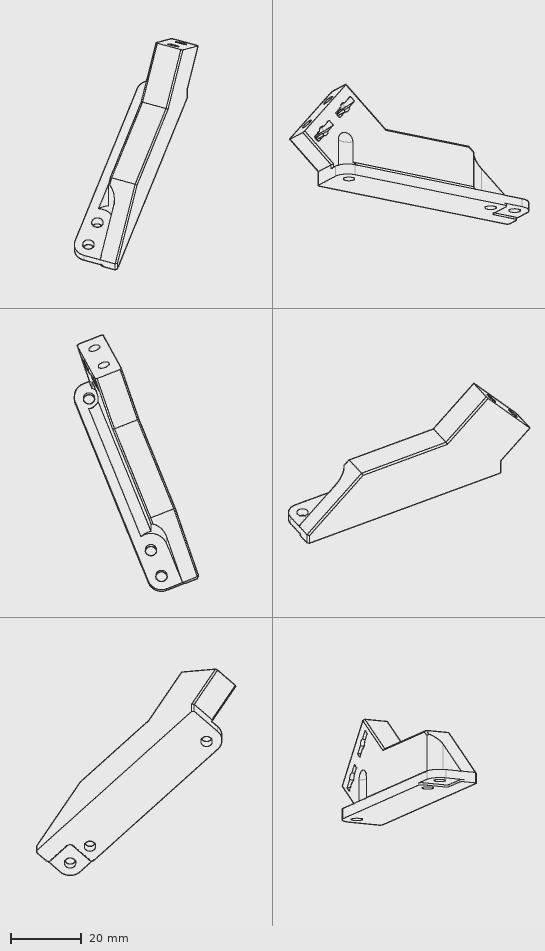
import cadquery as cq
import math

PLATE_LENGTH = 63.6
PLATE_WIDTH = 13.8
PLATE_THICKNESS = 3.0
PLATE_CORNER_RADIUS = 4.0

HOLE_DIAMETER = 3.2
HOLE_ROW_X = 4.0
FRONT_HOLE_Y = 4.0
MIDDLE_HOLE_Y = 12.0
BACK_HOLE_Y = 59.1

WALL_THICKNESS = 8.0
WALL_X = PLATE_WIDTH - WALL_THICKNESS
WALL_HEIGHT = 18.0
WALL_CENTER_X = WALL_X + WALL_THICKNESS / 2
EDGE_CHAMFER = 0.5

TILT = math.radians(40)
ARM_END_WIDTH = 22.3
ARM_END_Y = 73.06
ARM_TOP_Z = 29.1
ARM_TIP_Y = ARM_END_Y - ARM_END_WIDTH * math.sin(TILT)
ARM_LOW_Z = ARM_TOP_Z - ARM_END_WIDTH * math.cos(TILT)

BACK_RELIEF_RADIUS = 3.0
BACK_RELIEF_DOME_Z = 12.0
FRONT_RELIEF_RADIUS = 4.8

RIB_SIZE = 3.0

ARM_HOLE_SPACING = 11.0
ARM_LOW_HOLE_INSET = 5.5
ARM_HOLE_DEPTH = 8.0
NUT_SETBACK = 4.15
NUT_SLOT_WIDTH = 1.8
NUT_SIDE = 5.7
NUT_SLOT_DEPTH = WALL_THICKNESS / 2 + NUT_SIDE / 2
NUT_LEAD_IN = 0.95
NUT_PEEPHOLE_DIAMETER = 2.8

RECESS_SIDE = 8.7
RECESS_DEPTH = 0.6
RECESS_RADIUS = 1.0


def box(x_range, y_range, z_range):
    """Axis-aligned box between the given limits."""
    sizes = [high - low for low, high in (x_range, y_range, z_range)]
    corner = (x_range[0], y_range[0], z_range[0])
    return cq.Workplane("XY").box(*sizes, centered=False).translate(corner)


def plate():
    """Flat base with its two -X corners rounded, reaching just under the wall."""
    base = box((0, WALL_X + EDGE_CHAMFER), (0, PLATE_LENGTH), (0, PLATE_THICKNESS))
    return base.edges("|Z and <X").fillet(PLATE_CORNER_RADIUS)


def wall_profile():
    """Side outline of the wall and arm, as (Y, Z) points."""
    ramp_top_y = (WALL_HEIGHT - PLATE_THICKNESS) / math.tan(TILT)
    valley_y = ARM_TIP_Y - (ARM_TOP_Z - WALL_HEIGHT) / math.tan(TILT)
    heel_z = ARM_LOW_Z - (ARM_END_Y - PLATE_LENGTH) * math.tan(TILT)
    return [
        (0, 0),
        (0, PLATE_THICKNESS),
        (ramp_top_y, WALL_HEIGHT),
        (valley_y, WALL_HEIGHT),
        (ARM_TIP_Y, ARM_TOP_Z),
        (ARM_END_Y, ARM_LOW_Z),
        (PLATE_LENGTH, heel_z),
        (PLATE_LENGTH, 0),
    ]


def arm_end_center():
    """Middle of the flat face that ends the arm."""
    return cq.Vector(WALL_CENTER_X, (ARM_TIP_Y + ARM_END_Y) / 2, (ARM_TOP_Z + ARM_LOW_Z) / 2)


def wall():
    """Wall and arm, chamfered around both faces except at the arm end and the underside."""
    body = (
        cq.Workplane("YZ", origin=(WALL_X, 0, 0))
        .polyline(wall_profile())
        .close()
        .extrude(WALL_THICKNESS)
    )
    end_direction = cq.Vector(0, math.cos(TILT), math.sin(TILT))

    def is_chamfered(edge):
        center = edge.Center()
        on_arm_end = (center - arm_end_center()).dot(end_direction) > -EDGE_CHAMFER / 2
        return center.z > 0 and not on_arm_end

    rims = body.faces("<X or >X").edges().filter(is_chamfered)
    return rims.chamfer(EDGE_CHAMFER)


def rib():
    """Triangular rib along the foot of the wall, from the middle hole to the back hole."""
    return (
        cq.Workplane("XZ", origin=(0, MIDDLE_HOLE_Y, 0))
        .moveTo(WALL_X - RIB_SIZE, PLATE_THICKNESS)
        .lineTo(WALL_X + EDGE_CHAMFER, PLATE_THICKNESS)
        .lineTo(WALL_X + EDGE_CHAMFER, PLATE_THICKNESS + RIB_SIZE)
        .lineTo(WALL_X, PLATE_THICKNESS + RIB_SIZE)
        .close()
        .extrude(MIDDLE_HOLE_Y - BACK_HOLE_Y)
    )


def mounting_holes():
    """Cutters for the screw holes through the plate."""
    centers = [(HOLE_ROW_X, y) for y in (FRONT_HOLE_Y, MIDDLE_HOLE_Y, BACK_HOLE_Y)]
    return cq.Workplane("XY").pushPoints(centers).circle(HOLE_DIAMETER / 2).extrude(PLATE_THICKNESS)


def back_relief():
    """Domed cylinder that clears the back screw."""
    shaft = (
        cq.Workplane("XY", origin=(HOLE_ROW_X, BACK_HOLE_Y, PLATE_THICKNESS))
        .circle(BACK_RELIEF_RADIUS)
        .extrude(BACK_RELIEF_DOME_Z - PLATE_THICKNESS)
    )
    dome = cq.Workplane("XY").sphere(BACK_RELIEF_RADIUS)
    return shaft.union(dome.translate((HOLE_ROW_X, BACK_HOLE_Y, BACK_RELIEF_DOME_Z)))


def front_relief():
    """Round-ended clearance over the two front screws, open toward -Y."""
    height_range = (PLATE_THICKNESS, WALL_HEIGHT)
    round_end = (
        cq.Workplane("XY", origin=(HOLE_ROW_X, MIDDLE_HOLE_Y, PLATE_THICKNESS))
        .circle(FRONT_RELIEF_RADIUS)
        .extrude(WALL_HEIGHT - PLATE_THICKNESS)
    )
    straight = box((0, HOLE_ROW_X + FRONT_RELIEF_RADIUS), (0, MIDDLE_HOLE_Y), height_range)
    return round_end.union(straight)


def nut_slot():
    """Nut slot cutter: X runs into the wall, Y along the arm end, Z along the screw."""
    half_side = NUT_SIDE / 2
    half_slot = (
        cq.Workplane("XY")
        .lineTo(NUT_SLOT_DEPTH, 0)
        .lineTo(NUT_SLOT_DEPTH, half_side)
        .lineTo(WALL_THICKNESS / 2, half_side)
        .tangentArcPoint((0, half_side + NUT_LEAD_IN), relative=False)
        .close()
        .extrude(NUT_SLOT_WIDTH / 2, both=True)
    )
    return half_slot.union(half_slot.mirror("XZ"))


def arm_fastener():
    """Cutter for one arm screw: hole from the end face, nut slot and peephole from the -X face."""
    screw = cq.Workplane("XY").circle(HOLE_DIAMETER / 2).extrude(-ARM_HOLE_DEPTH)
    peephole = cq.Workplane("YZ").circle(NUT_PEEPHOLE_DIAMETER / 2).extrude(WALL_THICKNESS / 2)
    nut_opening = nut_slot().union(peephole)
    return screw.union(nut_opening.translate((-WALL_THICKNESS / 2, 0, -NUT_SETBACK)))


def arm_fasteners():
    """Both arm screw cutters, tilted and moved onto the arm end face."""
    cutters = cq.Workplane("XY")
    low_offset = ARM_LOW_HOLE_INSET - ARM_END_WIDTH / 2
    for offset in (-low_offset, -low_offset - ARM_HOLE_SPACING):
        cutters = cutters.add(arm_fastener().translate((0, offset, 0)))
    tilt_from_vertical = math.degrees(TILT) - 90
    tilted = cutters.rotate((0, 0, 0), (1, 0, 0), tilt_from_vertical)
    return tilted.translate(arm_end_center()).combine()


def corner_recess():
    """Square recess under the corner at the origin, rounded inside and flared at its two mouths."""
    height_range = (0, RECESS_DEPTH)
    recess = box((0, RECESS_SIDE), (0, RECESS_SIDE), height_range)
    recess = recess.edges("|Z and >X and >Y").fillet(RECESS_RADIUS)
    flare_end = RECESS_SIDE + RECESS_RADIUS
    for x, y in ((RECESS_SIDE, 0), (0, RECESS_SIDE)):
        flare = box((x, x + RECESS_RADIUS), (y, y + RECESS_RADIUS), height_range)
        round_center = (flare_end, RECESS_RADIUS) if y == 0 else (RECESS_RADIUS, flare_end)
        rounding = cq.Workplane("XY").center(*round_center).circle(RECESS_RADIUS).extrude(RECESS_DEPTH)
        recess = recess.union(flare.cut(rounding))
    return recess


result = (
    plate()
    .union(wall())
    .union(rib())
    .cut(mounting_holes())
    .cut(back_relief())
    .cut(front_relief())
    .cut(arm_fasteners())
    .cut(corner_recess())
)